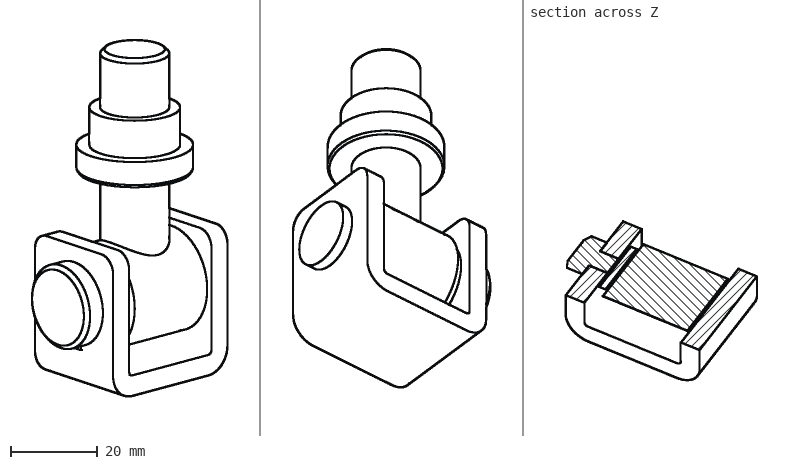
import cadquery as cq
import math


bracket_width = 27.0
bracket_length = 35.5
bracket_height = 34.55
plate_thickness = 5.0
outer_bend_radius = 6.0
inner_bend_radius = 1.0
ear_corner_radius = 4.0

pin_axis_z = 20.5
pin_diameter = 12.0
head_diameter = 20.0
head_length = 5.0
head_chamfer = 1.0
key_width = 5.0
key_reach = 10.8

cap_diameter = 16.0
cap_rim_length = 2.65
cap_dome_height = 0.3

sleeve_diameter = 25.0
sleeve_length = 22.5
stem_diameter = 16.0
stem_top_z = 78.0
stem_chamfer = 1.0

washer_diameter = 22.0
washer_thickness = 1.7

collar_top_z = 63.95
collar_body_diameter = 21.0
collar_body_length = 9.05
flange_diameter = 27.0
flange_thickness = 6.25
flange_chamfer_height = 0.7
flange_chamfer_inset = 0.5

inner_length = bracket_length - 2 * plate_thickness
clearance = (inner_length - sleeve_length - washer_thickness) / 3
inner_back_y = sleeve_length / 2 + clearance
inner_front_y = inner_back_y - inner_length
outer_back_y = inner_back_y + plate_thickness
outer_front_y = inner_front_y - plate_thickness
washer_back_y = -sleeve_length / 2 - clearance


def cylinder_along_y(diameter, front_y, length):
    """Cylinder on the pin axis, reaching from front_y toward +Y."""
    axis = cq.Plane(origin=(0, front_y, pin_axis_z), xDir=(1, 0, 0), normal=(0, 1, 0))
    return cq.Workplane(axis).circle(diameter / 2).extrude(length)


def box_from(min_corner, size):
    """Box given by its lowest corner and its X, Y, Z sizes."""
    return cq.Workplane("XY").box(*size, centered=False).translate(min_corner)


def make_key():
    """Flat-bottomed key below the pin, as deep along Y as the bracket plate is thick."""
    bottom_z = pin_axis_z - key_reach
    return box_from((-key_width / 2, outer_front_y, bottom_z), (key_width, plate_thickness, key_reach))


def make_bracket():
    outer = box_from((-bracket_width / 2, outer_front_y, 0), (bracket_width, bracket_length, bracket_height))
    outer = outer.edges("|X and <Z").fillet(outer_bend_radius)
    outer = outer.edges("|Y and >Z").fillet(ear_corner_radius)
    opening_size = (bracket_width, inner_length, bracket_height)
    opening = box_from((-bracket_width / 2, inner_front_y, plate_thickness), opening_size)
    opening = opening.edges("|X and <Z").fillet(inner_bend_radius)
    pin_hole = cylinder_along_y(pin_diameter, outer_front_y, bracket_length)
    return outer.cut(opening).cut(pin_hole).cut(make_key())


def make_pin():
    shank = cylinder_along_y(pin_diameter, outer_front_y, bracket_length)
    head = cylinder_along_y(head_diameter, outer_front_y - head_length, head_length)
    head = head.faces("<Y").chamfer(head_chamfer)
    return shank.union(head).union(make_key())


def make_cap():
    """Solid of revolution: a flat disc closed by a shallow spherical dome."""
    radius = cap_diameter / 2
    rim_y = outer_back_y + cap_rim_length
    apex_y = rim_y + cap_dome_height
    dome_radius = (radius**2 + cap_dome_height**2) / (2 * cap_dome_height)
    mid_x = radius / 2
    mid_y = apex_y - dome_radius + math.sqrt(dome_radius**2 - mid_x**2)
    half_profile = (
        cq.Workplane("XY", origin=(0, 0, pin_axis_z))
        .moveTo(0, outer_back_y)
        .lineTo(radius, outer_back_y)
        .lineTo(radius, rim_y)
        .threePointArc((mid_x, mid_y), (0, apex_y))
        .close()
    )
    return half_profile.revolve(360, (0, 0, 0), (0, 1, 0))


def make_eye_bolt():
    sleeve = cylinder_along_y(sleeve_diameter, -sleeve_length / 2, sleeve_length)
    stem_length = stem_top_z - pin_axis_z
    stem = cq.Workplane("XY", origin=(0, 0, pin_axis_z)).circle(stem_diameter / 2).extrude(stem_length)
    stem = stem.faces(">Z").chamfer(stem_chamfer)
    bore = cylinder_along_y(pin_diameter, -sleeve_length / 2, sleeve_length)
    return sleeve.union(stem).cut(bore)


def make_washer():
    front_y = washer_back_y - washer_thickness
    disc = cylinder_along_y(washer_diameter, front_y, washer_thickness)
    return disc.cut(cylinder_along_y(pin_diameter, front_y, washer_thickness))


def make_collar():
    """Ring of revolution: a wide flange, chamfered underneath, with a narrower body above it."""
    bore_radius = stem_diameter / 2
    body_radius = collar_body_diameter / 2
    flange_radius = flange_diameter / 2
    flange_top_z = collar_top_z - collar_body_length
    flange_bottom_z = flange_top_z - flange_thickness
    half_profile = cq.Workplane("XZ").polyline([
        (bore_radius, flange_bottom_z),
        (flange_radius - flange_chamfer_inset, flange_bottom_z),
        (flange_radius, flange_bottom_z + flange_chamfer_height),
        (flange_radius, flange_top_z),
        (body_radius, flange_top_z),
        (body_radius, collar_top_z),
        (bore_radius, collar_top_z),
    ]).close()
    return half_profile.revolve(360, (0, 0, 0), (0, 1, 0))


bracket = make_bracket()
pin = make_pin()
cap = make_cap()
eye_bolt = make_eye_bolt()
washer = make_washer()
collar = make_collar()

result = cq.Compound.makeCompound([
    bracket.val(),
    pin.val(),
    cap.val(),
    eye_bolt.val(),
    washer.val(),
    collar.val(),
])